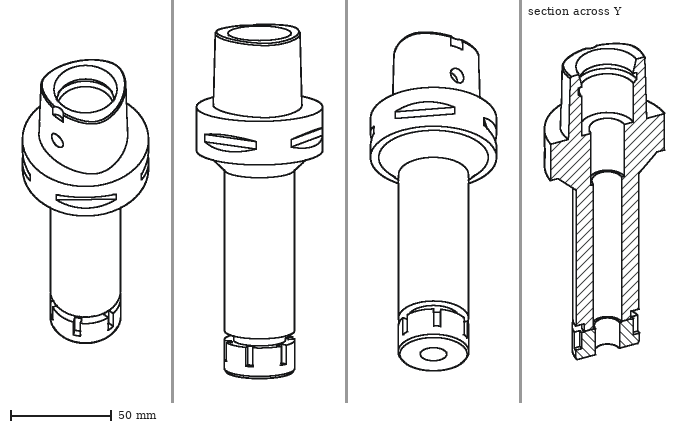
import cadquery as cq
import math

TOTAL_LENGTH = 173.0
SHANK_LENGTH = 37.7
FLANGE_HEIGHT = 22.3
NECK_LENGTH = 4.7
NUT_HEIGHT = 16.0

FLANGE_TOP_Z = TOTAL_LENGTH - SHANK_LENGTH
FLANGE_BOTTOM_Z = FLANGE_TOP_Z - FLANGE_HEIGHT
BODY_BOTTOM_Z = NUT_HEIGHT + NECK_LENGTH

FLANGE_RADIUS = 31.5
CONE_TOP_RADIUS = 27.3
BODY_RADIUS = 17.5
CONE_HEIGHT = CONE_TOP_RADIUS - BODY_RADIUS
BODY_TOP_Z = FLANGE_BOTTOM_Z - CONE_HEIGHT
NECK_RADIUS = 13.0

SHANK_BASE_RADIUS = 22.1
SHANK_TAPER = 1 / 40
LOBE_HEIGHT = 1.47
LOBE_COUNT = 3
OUTLINE_POINTS = 24
SHANK_CHAMFER_HEIGHT = 1.0
SHANK_CHAMFER_WIDTH = 0.6

NOTCH_RADIUS = 5.0
NOTCH_BACK = 18.0
NOTCH_DEPTH = 5.9
SIDE_HOLE_RADIUS = 4.0
SIDE_HOLE_DEPTH_FROM_TOP = 22.3
SIDE_HOLE_FLOOR = 14.9

MOUTH_RADIUS = 15.7
BORE_RADIUS = 14.2
MOUTH_DEPTH = 6.5
GROOVE_START_DEPTH = 8.5
GROOVE_END_DEPTH = 12.3
GROOVE_RADIUS = 16.1
BORE_DEPTH = SHANK_LENGTH
SCREW_BORE_RADIUS = 9.2
SCREW_BORE_DEPTH = 69.2
CENTRE_BORE_RADIUS = 7.8

GRIP_COUNT = 4
GRIP_START_ANGLE = 45
GRIP_DEPTH_FROM_TOP = 50.0
GRIP_FLOOR_DISTANCE = 27.7
GRIP_FLOOR_HEIGHT = 3.8
GRIP_SIDE_ANGLE = 30.0

NUT_RADIUS = 17.6
NUT_BORE_RADIUS = 6.5
NUT_CHAMFER_WIDTH = 0.9
NUT_CHAMFER_HEIGHT = 1.4
NUT_SLOT_COUNT = 6
NUT_SLOT_WIDTH = 3.6
NUT_SLOT_LENGTH = 9.7
NUT_SLOT_FLOOR = 14.4


def lobed_wire(radius, z):
    """Closed constant-width outline whose support distance is radius - LOBE_HEIGHT * sin(3 * angle)."""
    points = []
    for i in range(OUTLINE_POINTS):
        angle = 2 * math.pi * i / OUTLINE_POINTS
        support = radius - LOBE_HEIGHT * math.sin(LOBE_COUNT * angle)
        slope = -LOBE_COUNT * LOBE_HEIGHT * math.cos(LOBE_COUNT * angle)
        x = support * math.cos(angle) - slope * math.sin(angle)
        y = support * math.sin(angle) + slope * math.cos(angle)
        points.append(cq.Vector(x, y, z))
    return cq.Wire.assembleEdges([cq.Edge.makeSpline(points, periodic=True)])


def make_shank():
    """Tapered lobed shank with a chamfered end, as two straight-sided lofts."""
    top_radius = SHANK_BASE_RADIUS - SHANK_TAPER * SHANK_LENGTH
    chamfer_z = TOTAL_LENGTH - SHANK_CHAMFER_HEIGHT
    base = lobed_wire(SHANK_BASE_RADIUS, FLANGE_TOP_Z)
    shoulder = lobed_wire(top_radius, chamfer_z)
    end = lobed_wire(top_radius - SHANK_CHAMFER_WIDTH, TOTAL_LENGTH)
    taper = cq.Solid.makeLoft([base, shoulder], True)
    chamfer = cq.Solid.makeLoft([shoulder, end], True)
    return cq.Workplane(taper).union(cq.Workplane(chamfer))


def make_holder_outside():
    """Turned neck, body, cone and flange, with the shank on top."""
    profile = [
        (0, NUT_HEIGHT),
        (NECK_RADIUS, NUT_HEIGHT),
        (NECK_RADIUS, BODY_BOTTOM_Z),
        (BODY_RADIUS, BODY_BOTTOM_Z),
        (BODY_RADIUS, BODY_TOP_Z),
        (CONE_TOP_RADIUS, FLANGE_BOTTOM_Z),
        (FLANGE_RADIUS, FLANGE_BOTTOM_Z),
        (FLANGE_RADIUS, FLANGE_TOP_Z),
        (0, FLANGE_TOP_Z),
    ]
    turned = cq.Workplane("XZ").polyline(profile).close().revolve(360, (0, 0), (0, 1))
    return turned.union(make_shank())


def make_bore():
    """Turned cutter: conical mouth, undercut groove, main bore and two stepped bores below it."""
    groove_cone_depth = GROOVE_END_DEPTH + GROOVE_RADIUS - BORE_RADIUS
    profile = [
        (0, 0),
        (MOUTH_RADIUS, 0),
        (BORE_RADIUS, MOUTH_DEPTH),
        (BORE_RADIUS, GROOVE_START_DEPTH),
        (GROOVE_RADIUS, GROOVE_START_DEPTH),
        (GROOVE_RADIUS, GROOVE_END_DEPTH),
        (BORE_RADIUS, groove_cone_depth),
        (BORE_RADIUS, BORE_DEPTH),
        (SCREW_BORE_RADIUS, BORE_DEPTH),
        (SCREW_BORE_RADIUS, SCREW_BORE_DEPTH),
        (CENTRE_BORE_RADIUS, SCREW_BORE_DEPTH),
        (CENTRE_BORE_RADIUS, TOTAL_LENGTH - NUT_HEIGHT),
        (0, TOTAL_LENGTH - NUT_HEIGHT),
    ]
    points = [(radius, TOTAL_LENGTH - depth) for radius, depth in profile]
    return cq.Workplane("XZ").polyline(points).close().revolve(360, (0, 0), (0, 1))


def make_notch():
    """Round-backed drive notch in the shank end."""
    return (
        cq.Workplane("XY", origin=(0, -NOTCH_BACK - NOTCH_RADIUS, TOTAL_LENGTH - NOTCH_DEPTH))
        .circle(NOTCH_RADIUS)
        .extrude(NOTCH_DEPTH)
    )


def make_side_hole():
    """Blind flat-ended hole into the shank wall."""
    hole_z = TOTAL_LENGTH - SIDE_HOLE_DEPTH_FROM_TOP
    floor = cq.Workplane("XZ", origin=(0, -SIDE_HOLE_FLOOR, hole_z))
    return floor.circle(SIDE_HOLE_RADIUS).extrude(FLANGE_RADIUS)


def make_grip_groove(angle):
    """Trapezoidal straight groove, cut across the flange rim at the given angle."""
    groove_z = TOTAL_LENGTH - GRIP_DEPTH_FROM_TOP
    flare = (FLANGE_RADIUS - GRIP_FLOOR_DISTANCE) * math.tan(math.radians(GRIP_SIDE_ANGLE))
    half_floor = GRIP_FLOOR_HEIGHT / 2
    half_mouth = half_floor + flare
    profile = [
        (GRIP_FLOOR_DISTANCE, groove_z - half_floor),
        (FLANGE_RADIUS, groove_z - half_mouth),
        (FLANGE_RADIUS, groove_z + half_mouth),
        (GRIP_FLOOR_DISTANCE, groove_z + half_floor),
    ]
    groove = cq.Workplane("XZ").polyline(profile).close().extrude(FLANGE_RADIUS, both=True)
    return groove.rotate((0, 0, 0), (0, 0, 1), angle)


def make_holder():
    holder = make_holder_outside().cut(make_bore()).cut(make_notch()).cut(make_side_hole())
    for i in range(GRIP_COUNT):
        holder = holder.cut(make_grip_groove(GRIP_START_ANGLE + i * 360 / GRIP_COUNT))
    return holder


def make_nut_slot(angle):
    """Spanner slot cutter at the given angle."""
    slot = cq.Workplane("XY").box(
        NUT_RADIUS,
        NUT_SLOT_WIDTH,
        NUT_SLOT_LENGTH,
        centered=(False, True, False),
    )
    slot = slot.translate((NUT_SLOT_FLOOR, 0, NUT_HEIGHT - NUT_SLOT_LENGTH))
    return slot.rotate((0, 0, 0), (0, 0, 1), angle)


def make_nut():
    """Chamfered ring under the neck, with spanner slots open at its upper face."""
    profile = [
        (NUT_BORE_RADIUS, 0),
        (NUT_RADIUS - NUT_CHAMFER_WIDTH, 0),
        (NUT_RADIUS, NUT_CHAMFER_HEIGHT),
        (NUT_RADIUS, NUT_HEIGHT),
        (NUT_BORE_RADIUS, NUT_HEIGHT),
    ]
    nut = cq.Workplane("XZ").polyline(profile).close().revolve(360, (0, 0), (0, 1))
    for i in range(NUT_SLOT_COUNT):
        nut = nut.cut(make_nut_slot(i * 360 / NUT_SLOT_COUNT))
    return nut


holder = make_holder()
nut = make_nut()
result = cq.Compound.makeCompound([holder.val(), nut.val()])